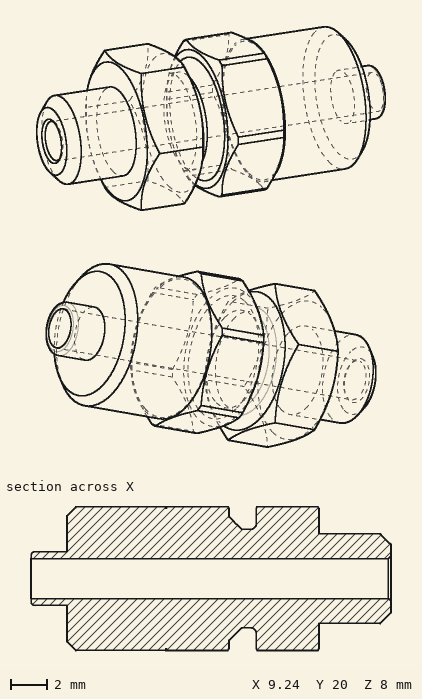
import cadquery as cq
import math

length = 20.0
thread_end = -length / 2
tube_end = length / 2
body_nut_start = -6.0
body_nut_end = -2.5
union_nut_start = -1.0
union_nut_end = 2.5
sleeve_end = 8.0

across_flats = 8.0
across_corners = across_flats / math.cos(math.radians(30))
corner_diameter = 9.0
nut_face_diameter = 7.8
nut_chamfer_angle = 30.0

thread_diameter = 5.0
thread_tip_chamfer = 0.6
neck_diameter = 5.5
neck_fillet = 0.3
collar_diameter = 6.95
sleeve_diameter = across_flats
sleeve_chamfer = 0.5
tube_diameter = 3.0
tube_tip_fillet = 0.2
bore_diameter = 2.2
bore_chamfer = 0.15


def revolve_profile(points):
    """Revolve a closed (radius, y) outline around the Y axis."""
    return cq.Workplane("XY").polyline(points).close().revolve(360, (0, 0, 0), (0, 1, 0))


def cylinder(diameter, start, end):
    """Cylinder along Y between two positions."""
    return cq.Workplane("XZ", origin=(0, start, 0)).circle(diameter / 2).extrude(start - end)


def chamfered_hexagon(start, end, outer_diameter):
    """Hexagon with corners along X, both ends trimmed by cones."""
    hexagon = cq.Workplane("XZ", origin=(0, start, 0)).polygon(6, across_corners).extrude(start - end)
    outer_radius = outer_diameter / 2
    face_radius = nut_face_diameter / 2
    drop = (outer_radius - face_radius) * math.tan(math.radians(nut_chamfer_angle))
    envelope = revolve_profile([
        (0, start),
        (face_radius, start),
        (outer_radius, start + drop),
        (outer_radius, end - drop),
        (face_radius, end),
        (0, end),
    ])
    return hexagon.intersect(envelope)


def threaded_end():
    """Plain stub with a chamfered tip."""
    return revolve_profile([
        (0, thread_end),
        (thread_diameter / 2 - thread_tip_chamfer, thread_end),
        (thread_diameter / 2, thread_end + thread_tip_chamfer),
        (thread_diameter / 2, body_nut_start),
        (0, body_nut_start),
    ])


def neck():
    """Neck between the nuts: fillet at the body nut, 45 degree cone at the union nut."""
    neck_radius = neck_diameter / 2
    collar_radius = collar_diameter / 2
    cone_start = union_nut_start - (collar_radius - neck_radius)
    fillet_offset = neck_fillet * (1 - math.sqrt(0.5))
    return (
        cq.Workplane("XY")
        .moveTo(0, body_nut_end)
        .lineTo(neck_radius + neck_fillet, body_nut_end)
        .threePointArc(
            (neck_radius + fillet_offset, body_nut_end + fillet_offset),
            (neck_radius, body_nut_end + neck_fillet),
        )
        .lineTo(neck_radius, cone_start)
        .lineTo(collar_radius, union_nut_start)
        .lineTo(0, union_nut_start)
        .close()
        .revolve(360, (0, 0, 0), (0, 1, 0))
    )


def sleeve_and_tube():
    """Chamfered sleeve on the union nut and the round-edged tube leaving it."""
    sleeve_radius = sleeve_diameter / 2
    sleeve = revolve_profile([
        (0, union_nut_end),
        (sleeve_radius, union_nut_end),
        (sleeve_radius, sleeve_end - sleeve_chamfer),
        (sleeve_radius - sleeve_chamfer, sleeve_end),
        (0, sleeve_end),
    ])
    tube = cylinder(tube_diameter, sleeve_end, tube_end)
    return sleeve.union(tube.edges(">Y").fillet(tube_tip_fillet))


def bore():
    """Through bore, countersunk at the threaded end."""
    bore_radius = bore_diameter / 2
    countersink = revolve_profile([
        (0, thread_end),
        (bore_radius + bore_chamfer, thread_end),
        (bore_radius, thread_end + bore_chamfer),
        (0, thread_end + bore_chamfer),
    ])
    return cylinder(bore_diameter, thread_end, tube_end).union(countersink)


result = (
    threaded_end()
    .union(chamfered_hexagon(body_nut_start, body_nut_end, across_corners))
    .union(neck())
    .union(chamfered_hexagon(union_nut_start, union_nut_end, corner_diameter))
    .union(sleeve_and_tube())
    .cut(bore())
)